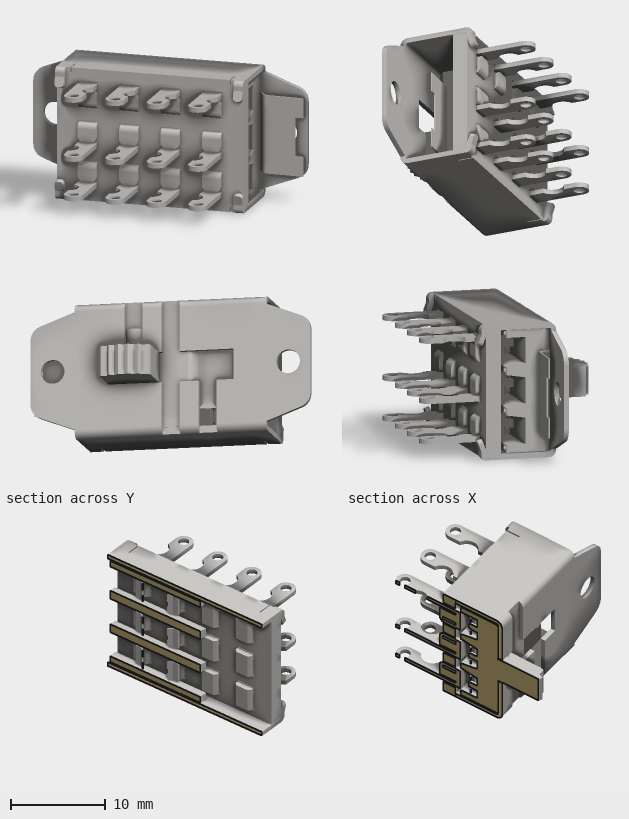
import cadquery as cq
import math


sheet = 0.55
frame_half_length = 10.35
frame_half_width = 7.2
inner_half_width = frame_half_width - sheet
fold_radius = 1.6 / 2
flange_half_length = 15.1
flange_root_half_width = 6.33
flange_end_half_width = 4.55
flange_corner_radius = 1.5
mount_hole_diameter = 2.55
mount_hole_x = 12.72

board_half_length = 10.33
board_top = -6.05
board_bottom = -7.7
tongue_half_length = 8.72
tongue_gap = 0.15

tab_width = 1.03
tab_corner_radius = 0.42
tab_kink_z = 6.25
tab_flare_angle = math.radians(20)
tab_flare_length = 1.15

slide_step = 4.0
slider_half_length = 6.05
slider_half_width = 6.57
slider_top = -sheet
slider_end_chamfer = 0.65
slider_side_chamfer = 0.18
leaf_thickness = 0.15
comb_root = -3.27
comb_tip = -5.4
row_pitch = 4.33
comb_slot_half_width = 1.42
tooth_tip_half_width = 0.4
nub_diameter = 0.55
nub_height = 0.18
nub_rounding = 0.15
nub_inset = 0.45
outer_nub_z = 6.15

knob_half_length = 2.75
knob_width = 3.2
knob_shoulder_start = 3.82
knob_shoulder = 4.35
knob_shoulder_half_length = 2.6
knob_shoulder_mid = (2.7, 4.12)
serration = [(1.88, knob_shoulder), (1.6, 4.9), (1.05, 4.63), (0.5, 5.12), (0, 4.8)]

window_clearance = 0.05
window_half_length = slide_step + knob_half_length + window_clearance
window_width = knob_width + window_clearance
detent_slot_width = 1.9

leaf_width = 8.55
leaf_bend_x = slider_half_length
leaf_kink = (6.87, -1.9)
leaf_bend_radius = 0.45
leaf_tip = (11.17, -2.1)
leaf_notch_width = 4.25
leaf_notch_depth = 0.9
bump_half_length = 0.9
bump_height = 0.65

contact_width = 2.35
contact_thickness = 0.15
apex_half_length = 0.25
foot_inner_x = 2.18
foot_outer_x = 2.85
foot_top = -4.75
foot_radius = 0.58
contact_hole_diameter = 1.35
peg_width = 0.82
peg_bottom = -4.35
peg_chamfer = 0.15
peg_x = 1.05

terminal_pitch = 4.57
terminals_per_row = 4
terminal_width = 2.05
terminal_thickness = 0.5
leg_offset = 1.05
head_chamfer = 0.27
slot_length = 2.2
slot_height = 0.85
clinch_thickness = 0.45
clinch_reach = 0.67
clinch_half_height = 1.4
clinch_fold_radius = 0.67
clinch_corner_radius = 0.55
eye_y = -12.95
eye_diameter = 1.18
relief_diameter = 2.55
relief_y = -10.45
relief_depth = 0.8


def box(x_range, y_range, z_range):
    """Box between the given limits on each axis."""
    (x0, x1), (y0, y1), (z0, z1) = x_range, y_range, z_range
    return cq.Workplane("XY").box(x1 - x0, y1 - y0, z1 - z0, centered=False).translate((x0, y0, z0))


def centred(half):
    return (-half, half)


def cylinder_y(diameter, x, z, y_range):
    """Cylinder along Y."""
    y0, y1 = y_range
    solid = cq.Solid.makeCylinder(diameter / 2, y1 - y0, cq.Vector(x, y0, z), cq.Vector(0, 1, 0))
    return cq.Workplane(solid)


def cylinder_z(diameter, x, y, z_range):
    """Cylinder along Z."""
    z0, z1 = z_range
    return cq.Workplane(cq.Solid.makeCylinder(diameter / 2, z1 - z0, cq.Vector(x, y, z0)))



def make_flange():
    """Flat mounting plate with tapered, rounded ears and a screw hole in each ear."""
    half_outline = [
        (frame_half_length, flange_root_half_width),
        (flange_half_length, flange_end_half_width),
        (flange_half_length, -flange_end_half_width),
        (frame_half_length, -flange_root_half_width),
    ]
    outline = half_outline + [(-x, -z) for x, z in half_outline]
    flange = cq.Workplane("XZ").polyline(outline).close().extrude(sheet)
    flange = flange.edges("|Y and (<X or >X)").fillet(flange_corner_radius)
    for x in (-mount_hole_x, mount_hole_x):
        flange = flange.cut(cylinder_y(mount_hole_diameter, x, 0, (-sheet, 0)))
    return flange


def make_channel():
    """U-shaped channel: plate and two side walls with rounded folds."""
    length = centred(frame_half_length)
    outer = box(length, (board_bottom, 0), centred(frame_half_width))
    outer = outer.edges("|X and >Y").fillet(fold_radius)
    inner = box(length, (board_bottom, -sheet), centred(inner_half_width))
    inner = inner.edges("|X and >Y").fillet(fold_radius - sheet)
    return outer.cut(inner)


def make_corner_tab():
    """Tab bent over the board at the upper right corner and flared away at its tip."""
    tab_outer = board_bottom - sheet
    sine, cosine = math.sin(tab_flare_angle), math.cos(tab_flare_angle)
    tip_outer = (tab_outer - tab_flare_length * sine, tab_kink_z - tab_flare_length * cosine)
    tip_inner = (tip_outer[0] + sheet * cosine, tip_outer[1] - sheet * sine)
    inner_kink_z = tab_kink_z - sheet * math.tan(tab_flare_angle / 2)
    bend = sheet * math.sqrt(0.5)
    profile = (
        cq.Workplane("YZ")
        .moveTo(board_bottom, frame_half_width)
        .threePointArc((board_bottom - bend, inner_half_width + bend), (tab_outer, inner_half_width))
        .lineTo(tab_outer, tab_kink_z)
        .lineTo(*tip_outer)
        .lineTo(*tip_inner)
        .lineTo(board_bottom, inner_kink_z)
        .close()
    )
    tab = profile.extrude(tab_width)
    tip_y, tip_z = [(outer + inner) / 2 for outer, inner in zip(tip_outer, tip_inner)]
    for x in (0, tab_width):
        tip_edge = cq.selectors.NearestToPointSelector((x, tip_y, tip_z))
        tab = tab.edges(tip_edge).fillet(tab_corner_radius)
    return tab.translate((frame_half_length - tab_width, 0, 0))


def make_frame():
    frame = make_flange().union(make_channel())
    frame = frame.cut(box(centred(window_half_length), (-sheet, 0), centred(window_width / 2)))
    for x, side in ((0, 1), (slide_step, 1), (0, -1), (-slide_step, -1)):
        z_range = sorted((0, side * frame_half_width))
        slot = box(centred(detent_slot_width / 2), (-sheet, 0), z_range)
        frame = frame.cut(slot.translate((x, 0, 0)))
    notch = box(
        centred(tongue_half_length + tongue_gap), (board_bottom, board_top), centred(frame_half_width)
    )
    frame = frame.cut(notch)
    tab = make_corner_tab()
    for corner_tab in (tab, tab.mirror("YZ")):
        frame = frame.union(corner_tab).union(corner_tab.mirror("XY"))
    return frame



def make_terminal():
    """Staple at X = 0, Z = 0: flat head, soldering leg at +Z and clinched leg at -Z."""
    width = centred(terminal_width / 2)
    half_height = leg_offset + terminal_thickness / 2
    head = box(width, (board_top, comb_tip), centred(half_height))
    head = head.edges("|Z and >Y").chamfer(head_chamfer)
    leg_z = (leg_offset - terminal_thickness / 2, half_height)
    leg = box(width, (eye_y, board_top), leg_z)
    leg = leg.union(cylinder_z(terminal_width, 0, eye_y, leg_z))
    leg = leg.cut(cylinder_z(eye_diameter, 0, eye_y, leg_z))
    relief_x = terminal_width / 2 - relief_depth + relief_diameter / 2
    leg = leg.cut(cylinder_z(relief_diameter, relief_x, relief_y, leg_z))
    clinch_bottom = board_bottom - clinch_thickness
    clinch = box(width, (clinch_bottom, board_bottom), (-clinch_half_height, clinch_reach))
    clinch = clinch.edges("|Y and >Z").fillet(clinch_corner_radius)
    short_leg_z = (-clinch_half_height, terminal_thickness - clinch_half_height)
    clinch = clinch.union(box(width, (board_bottom, board_top), short_leg_z))
    clinch = clinch.edges("|X and <Y and <Z").fillet(clinch_fold_radius)
    return head.union(leg).union(clinch)


def make_board():
    """Terminal board with a tongue in each wall notch and twelve terminals."""
    board = box(centred(board_half_length), (board_bottom, board_top), centred(inner_half_width))
    board = board.union(
        box(centred(tongue_half_length), (board_bottom, board_top), centred(frame_half_width))
    )
    slot = box(centred(slot_length / 2), (board_bottom, board_top), centred(slot_height / 2))
    upper_terminal = make_terminal()
    lower_terminal = upper_terminal.rotate((0, 0, 0), (0, 1, 0), 180)
    terminal_xs = [
        (column - (terminals_per_row - 1) / 2) * terminal_pitch for column in range(terminals_per_row)
    ]
    for row in (-1, 0, 1):
        row_z = row * row_pitch
        terminal = upper_terminal if row == 1 else lower_terminal
        for x in terminal_xs:
            for offset in (-leg_offset, leg_offset):
                board = board.cut(slot.translate((x, 0, row_z + offset)))
            board = board.union(terminal.translate((x, 0, row_z)))
    return board


def make_knob():
    """Knob with rounded shoulders and a serrated tip."""
    left_serration = [(-x, y) for x, y in reversed(serration[:-1])]
    mid_x, mid_y = knob_shoulder_mid
    return (
        cq.Workplane("XY")
        .moveTo(-knob_half_length, slider_top)
        .lineTo(knob_half_length, slider_top)
        .lineTo(knob_half_length, knob_shoulder_start)
        .threePointArc((mid_x, mid_y), (knob_shoulder_half_length, knob_shoulder))
        .polyline(serration + left_serration, includeCurrent=True)
        .lineTo(-knob_shoulder_half_length, knob_shoulder)
        .threePointArc((-mid_x, mid_y), (-knob_half_length, knob_shoulder_start))
        .close()
        .extrude(knob_width / 2, both=True)
    )


def make_leaf_spring():
    """Thin leaf on the slider, bent down and out at both ends, with one detent bump."""
    bend_angle = math.atan2(slider_top - leaf_kink[1], leaf_kink[0] - leaf_bend_x)
    inset = leaf_thickness * math.tan(bend_angle / 2)
    top_side = [(leaf_bend_x, slider_top), leaf_kink, leaf_tip]
    under_side = [
        (leaf_tip[0], leaf_tip[1] - leaf_thickness),
        (leaf_kink[0] - inset, leaf_kink[1] - leaf_thickness),
        (leaf_bend_x - inset, slider_top - leaf_thickness),
    ]
    half = top_side + under_side
    outline = half + [(-x, y) for x, y in reversed(half)]
    leaf = cq.Workplane("XY").polyline(outline).close().extrude(leaf_width / 2, both=True)
    outer_radius = leaf_bend_radius + leaf_thickness
    bends = [
        (leaf_bend_x, slider_top, outer_radius),
        (leaf_bend_x - inset, slider_top - leaf_thickness, leaf_bend_radius),
        (leaf_kink[0], leaf_kink[1], leaf_bend_radius),
        (leaf_kink[0] - inset, leaf_kink[1] - leaf_thickness, outer_radius),
    ]
    for x, y, radius in bends:
        for bend_x in (-x, x):
            bend_edge = cq.selectors.NearestToPointSelector((bend_x, y, 0))
            leaf = leaf.edges(bend_edge).fillet(radius)
    leaf_end_y = (leaf_tip[1] - leaf_thickness, leaf_kink[1])
    for tip_x in (-leaf_tip[0], leaf_tip[0]):
        notch = box(
            centred(leaf_notch_depth), leaf_end_y, centred(leaf_notch_width / 2)
        )
        leaf = leaf.cut(notch.translate((tip_x, 0, 0)))
    bump = (
        cq.Workplane("XY")
        .moveTo(-bump_half_length, slider_top)
        .threePointArc((0, slider_top + bump_height), (bump_half_length, slider_top))
        .lineTo(bump_half_length - leaf_thickness, slider_top)
        .threePointArc(
            (0, slider_top + bump_height - leaf_thickness),
            (leaf_thickness - bump_half_length, slider_top),
        )
        .close()
        .extrude(leaf_width / 2)
    )
    return leaf.union(bump)


def make_slider_body():
    """Slider block with bevelled upper edges and comb teeth that part the three contact rows."""
    length = centred(slider_half_length)
    block = box(length, (comb_tip, slider_top), centred(slider_half_width))
    bevelled_ends = block.edges("|Z and >Y").chamfer(slider_end_chamfer)
    bevelled_sides = block.edges("|X and >Y").chamfer(slider_side_chamfer)
    body = bevelled_ends.intersect(bevelled_sides)
    root_half = comb_slot_half_width
    tip_half = row_pitch / 2 - tooth_tip_half_width
    outer_wall_z = row_pitch + root_half
    tooth_z = row_pitch - root_half
    outer_tip_z = row_pitch - tip_half
    slot_sides = [
        ((-root_half, -tip_half), (root_half, tip_half)),
        ((tooth_z, outer_tip_z), (outer_wall_z, outer_wall_z)),
        ((-outer_wall_z, -outer_wall_z), (-tooth_z, -outer_tip_z)),
    ]
    for (low_root, low_tip), (high_root, high_tip) in slot_sides:
        slot = (
            cq.Workplane("YZ")
            .polyline([
                (comb_root, low_root), (comb_root, high_root), (comb_tip, high_tip), (comb_tip, low_tip),
            ])
            .close()
            .extrude(slider_half_length, both=True)
        )
        body = body.cut(slot)
    nub = cylinder_y(nub_diameter, 0, 0, (comb_tip - nub_height, comb_tip))
    nub = nub.edges("<Y").fillet(nub_rounding)
    nub_x = slider_half_length - nub_inset
    for x in (-nub_x, nub_x):
        for z in (-outer_nub_z, -row_pitch / 2, row_pitch / 2, outer_nub_z):
            body = body.union(nub.translate((x, 0, z)))
    return body


def make_contact():
    """Arched bridging contact with two feet, and the pegs that pass through its holes."""
    half = [
        (apex_half_length, comb_root),
        (foot_inner_x, foot_top),
        (foot_outer_x, foot_top),
        (foot_outer_x, comb_tip),
        (foot_inner_x, comb_tip),
        (foot_inner_x, foot_top - contact_thickness),
        (apex_half_length, comb_root - contact_thickness),
    ]
    outline = half + [(-x, y) for x, y in reversed(half)]
    contact = cq.Workplane("XY").polyline(outline).close().extrude(contact_width / 2, both=True)
    contact = contact.edges("|Z and <Y and (<X or >X)").fillet(foot_radius)
    for x in (-peg_x, peg_x):
        contact = contact.cut(cylinder_y(contact_hole_diameter, x, 0, (foot_top, comb_root)))
        peg = box(centred(peg_width / 2), (peg_bottom, comb_root), centred(peg_width / 2))
        peg = peg.edges("|X and <Y").chamfer(peg_chamfer)
        contact = contact.union(peg.translate((x, 0, 0)))
    return contact


def make_mechanism():
    """Terminal board and, resting on its terminals, the slider with its contacts."""
    slider = make_slider_body().union(make_knob()).union(make_leaf_spring())
    contact = make_contact()
    for row in (-1, 0, 1):
        slider = slider.union(contact.translate((0, 0, row * row_pitch)))
    return make_board().union(slider.translate((slide_step, 0, 0)))


frame = make_frame()
mechanism = make_mechanism()
result = cq.Compound.makeCompound([frame.val(), mechanism.val()])